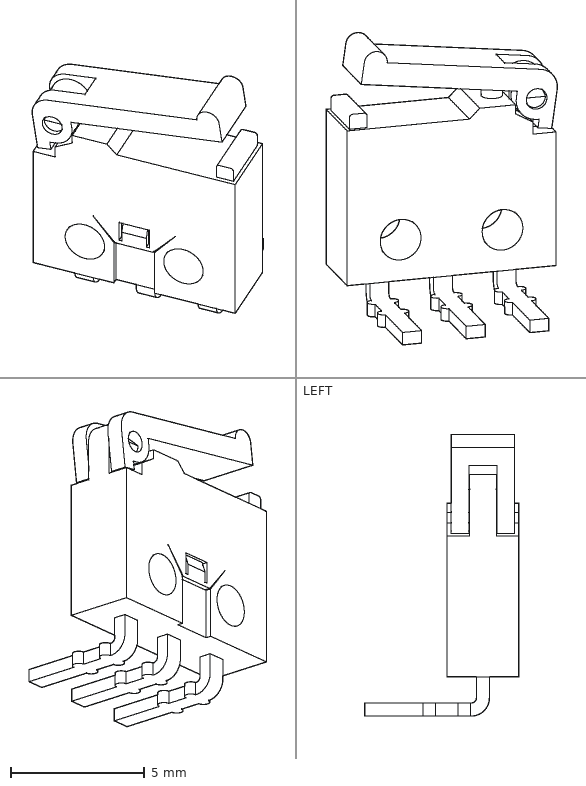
import cadquery as cq
import math

BODY_X = 8.2
BODY_Y = 2.71
BODY_Z = 6.13
MID_X = BODY_X / 2
MID_Y = BODY_Y / 2
RIDGE_Z = 6.52
RIDGE_END_X = 2.99
RIDGE_FOOT_X = 3.4

POCKET_FLOOR_Z = 5.29
POCKET_STEP_X = 0.9
POCKET_STEP_Z = 5.77
POCKET_WALL_X = 1.59
POCKET_WALL_Z = 6.16
POST_WIDTH = 1.0
POST_RADIUS = POCKET_WALL_X / 2
POST_ARC_Z = 6.8

HOLE_DIAMETER = 1.6
HOLE_PITCH = 4.0
HOLE_Z = 1.62

RECESS_WIDTH = 1.65
RECESS_TOP_Z = 1.93
RECESS_DEPTH = 0.22
WINDOW_WIDTH = 1.23
WINDOW_BOTTOM_Z = 2.1
WINDOW_TOP_Z = 2.93
LATCH_WIDTH = 0.99
LATCH_RAMP_Z = 2.51
LATCH_RAMP_DEPTH = 0.14
SLIT_SPAN = 3.32
SLIT_WIDTH = 0.05

PLUNGER_DIAMETER = 0.8
PLUNGER_X = 2.11
PLUNGER_SHOULDER_Z = 6.85
STOP_LEFT_X = 7.36
STOP_RIGHT_X = 8.06
STOP_TOP_Z = 6.71
STOP_FILLET = 0.13

LEVER_TILT = 8.0
LEVER_WIDTH = 2.38
PIVOT_X = 0.71
PIVOT_Z = 6.61
LEVER_TOP = 1.16
LEVER_UNDERSIDE = 0.26
LEVER_END = 6.99
HEEL_RADIUS = 0.76
HUB_RADIUS = 0.8
TOE_WIDTH = 0.55
TOE_BOTTOM = -1.13
TIP_RADIUS = 0.45
TIP_CENTER_HEIGHT = 1.13
FORK_WIDTH = 1.06
FORK_END = 1.24
PIN_DIAMETER = 0.8
PIN_RECESS = 0.2

TERMINAL_PITCH = 2.5
TERMINAL_WIDTH = 0.75
TERMINAL_THICKNESS = 0.5
TERMINAL_BOTTOM_Z = -1.48
TERMINAL_TIP_Y = 5.8
BEND_RADIUS = 0.69
NUB_SPAN = 1.22
NUB_DIAMETER = 0.48
NUB_POSITIONS_Y = (2.05, 3.36)

DIAGONAL = math.sqrt(0.5)


def extrude_along_y(outline, start_y, end_y):
    """Extrude a closed outline drawn in the XZ plane from start_y to end_y."""
    return outline.extrude(start_y - end_y).translate((0, start_y, 0))


def block(start, end):
    """Box between two opposite corners."""
    size = [high - low for low, high in zip(start, end)]
    return cq.Workplane("XY").box(*size, centered=False).translate(start)


def xz():
    """Workplane for outlines seen from the front."""
    return cq.Workplane("XZ")


def make_housing():
    outline = xz().polyline([
        (0, 0),
        (BODY_X, 0),
        (BODY_X, BODY_Z),
        (RIDGE_FOOT_X, BODY_Z),
        (RIDGE_END_X, RIDGE_Z),
        (POCKET_WALL_X, RIDGE_Z),
        (POCKET_WALL_X, POCKET_WALL_Z),
        (POCKET_STEP_X, POCKET_STEP_Z),
        (POCKET_STEP_X, POCKET_FLOOR_Z),
        (0, POCKET_FLOOR_Z),
    ]).close()
    housing = extrude_along_y(outline, 0, BODY_Y)
    holes = (
        xz()
        .pushPoints([(MID_X - HOLE_PITCH / 2, HOLE_Z), (MID_X + HOLE_PITCH / 2, HOLE_Z)])
        .circle(HOLE_DIAMETER / 2)
    )
    return housing.cut(extrude_along_y(holes, 0, BODY_Y))


def make_post():
    outline = (
        xz()
        .moveTo(0, POCKET_FLOOR_Z)
        .lineTo(POCKET_WALL_X, POCKET_FLOOR_Z)
        .lineTo(POCKET_WALL_X, POST_ARC_Z)
        .threePointArc((POST_RADIUS, POST_ARC_Z + POST_RADIUS), (0, POST_ARC_Z))
        .close()
    )
    return extrude_along_y(outline, MID_Y - POST_WIDTH / 2, MID_Y + POST_WIDTH / 2)


def make_front_cuts():
    recess_left = MID_X - RECESS_WIDTH / 2
    cuts = block((recess_left, 0, 0), (recess_left + RECESS_WIDTH, RECESS_DEPTH, RECESS_TOP_Z))

    window_left = MID_X - WINDOW_WIDTH / 2
    window = block(
        (window_left, 0, WINDOW_BOTTOM_Z),
        (window_left + WINDOW_WIDTH, RECESS_DEPTH, WINDOW_TOP_Z),
    )
    latch_outline = cq.Workplane("YZ").polyline([
        (0, WINDOW_BOTTOM_Z),
        (0, LATCH_RAMP_Z),
        (LATCH_RAMP_DEPTH, WINDOW_TOP_Z),
        (RECESS_DEPTH, WINDOW_TOP_Z),
        (RECESS_DEPTH, WINDOW_BOTTOM_Z),
    ]).close()
    latch = latch_outline.extrude(LATCH_WIDTH).translate((MID_X - LATCH_WIDTH / 2, 0, 0))
    cuts = cuts.union(window.cut(latch))

    for side in (-1, 1):
        corner_x = MID_X + side * RECESS_WIDTH / 2
        slit = xz().polyline([
            (corner_x, RECESS_TOP_Z),
            (MID_X + side * SLIT_SPAN / 2, WINDOW_TOP_Z),
            (corner_x - side * SLIT_WIDTH, RECESS_TOP_Z),
        ]).close()
        cuts = cuts.union(extrude_along_y(slit, 0, RECESS_DEPTH))
    return cuts


def make_plunger():
    radius = PLUNGER_DIAMETER / 2
    shaft = (
        cq.Workplane("XY")
        .circle(radius)
        .extrude(PLUNGER_SHOULDER_Z - BODY_Z)
        .translate((PLUNGER_X, MID_Y, BODY_Z))
    )
    dome = cq.Workplane("XY").sphere(radius).translate((PLUNGER_X, MID_Y, PLUNGER_SHOULDER_Z))
    return shaft.union(dome)


def make_stop():
    stop = block(
        (STOP_LEFT_X, MID_Y - LEVER_WIDTH / 2, BODY_Z),
        (STOP_RIGHT_X, MID_Y + LEVER_WIDTH / 2, STOP_TOP_Z),
    )
    return stop.edges("|Y and >Z").fillet(STOP_FILLET)


def make_lever():
    front = -LEVER_WIDTH / 2
    heel_center = LEVER_TOP - HEEL_RADIUS
    tip_center = LEVER_END - TIP_RADIUS
    tip_rise = LEVER_TOP - TIP_CENTER_HEIGHT
    tip_start = tip_center - math.sqrt(TIP_RADIUS**2 - tip_rise**2)
    toe_right = TOE_WIDTH - HEEL_RADIUS
    outline = (
        xz()
        .moveTo(-HEEL_RADIUS, TOE_BOTTOM)
        .lineTo(-HEEL_RADIUS, heel_center)
        .threePointArc(
            (-HEEL_RADIUS * DIAGONAL, heel_center + HEEL_RADIUS * DIAGONAL),
            (0, LEVER_TOP),
        )
        .lineTo(tip_start, LEVER_TOP)
        .threePointArc(
            (tip_center, TIP_CENTER_HEIGHT + TIP_RADIUS),
            (LEVER_END, TIP_CENTER_HEIGHT),
        )
        .lineTo(LEVER_END, LEVER_UNDERSIDE)
        .lineTo(HUB_RADIUS, LEVER_UNDERSIDE)
        .lineTo(HUB_RADIUS, 0)
        .threePointArc((HUB_RADIUS * DIAGONAL, -HUB_RADIUS * DIAGONAL), (0, -HUB_RADIUS))
        .lineTo(toe_right, -HUB_RADIUS)
        .lineTo(toe_right, TOE_BOTTOM)
        .close()
    )
    lever = extrude_along_y(outline, front, -front)
    fork = block(
        (-HEEL_RADIUS, -FORK_WIDTH / 2, TOE_BOTTOM),
        (FORK_END, FORK_WIDTH / 2, LEVER_TOP),
    )
    pin_hole = extrude_along_y(xz().circle(PIN_DIAMETER / 2), front, -front)
    lever = lever.cut(fork).cut(pin_hole)
    lever = lever.rotate((0, 0, 0), (0, 1, 0), -LEVER_TILT)
    return lever.translate((PIVOT_X, MID_Y, PIVOT_Z))


def make_pin():
    """Hinge pin whose ends are flat below the axis and slope inward at 45 degrees above it."""
    half_length = LEVER_WIDTH / 2 - PIN_RECESS
    radius = PIN_DIAMETER / 2
    side_outline = cq.Workplane("YZ").polyline([
        (-half_length, -radius),
        (half_length, -radius),
        (half_length, 0),
        (half_length - radius, radius),
        (radius - half_length, radius),
        (-half_length, 0),
    ]).close()
    pin = extrude_along_y(xz().circle(radius), -half_length, half_length)
    pin = pin.intersect(side_outline.extrude(radius, both=True))
    return pin.translate((PIVOT_X, MID_Y, PIVOT_Z))


def make_terminal(center_x):
    front_y = MID_Y - TERMINAL_THICKNESS / 2
    back_y = MID_Y + TERMINAL_THICKNESS / 2
    top_of_foot = TERMINAL_BOTTOM_Z + TERMINAL_THICKNESS
    bend_y = front_y + BEND_RADIUS
    bend_z = TERMINAL_BOTTOM_Z + BEND_RADIUS
    inner_radius = BEND_RADIUS - TERMINAL_THICKNESS
    profile = (
        cq.Workplane("YZ")
        .moveTo(front_y, 0)
        .lineTo(front_y, bend_z)
        .threePointArc(
            (bend_y - BEND_RADIUS * DIAGONAL, bend_z - BEND_RADIUS * DIAGONAL),
            (bend_y, TERMINAL_BOTTOM_Z),
        )
        .lineTo(TERMINAL_TIP_Y, TERMINAL_BOTTOM_Z)
        .lineTo(TERMINAL_TIP_Y, top_of_foot)
        .lineTo(bend_y, top_of_foot)
        .threePointArc(
            (bend_y - inner_radius * DIAGONAL, bend_z - inner_radius * DIAGONAL),
            (back_y, bend_z),
        )
        .lineTo(back_y, 0)
        .close()
    )
    terminal = profile.extrude(TERMINAL_WIDTH / 2, both=True)
    nubs = (
        cq.Workplane("XY")
        .pushPoints([(0, y) for y in NUB_POSITIONS_Y])
        .slot2D(NUB_SPAN, NUB_DIAMETER)
        .extrude(TERMINAL_THICKNESS)
        .translate((0, 0, TERMINAL_BOTTOM_Z))
    )
    return terminal.union(nubs).translate((center_x, 0, 0))


result = make_housing().cut(make_front_cuts())
result = result.union(make_post()).union(make_plunger()).union(make_stop())
result = result.union(make_lever()).union(make_pin())
for position in (-1, 0, 1):
    result = result.union(make_terminal(MID_X + position * TERMINAL_PITCH))